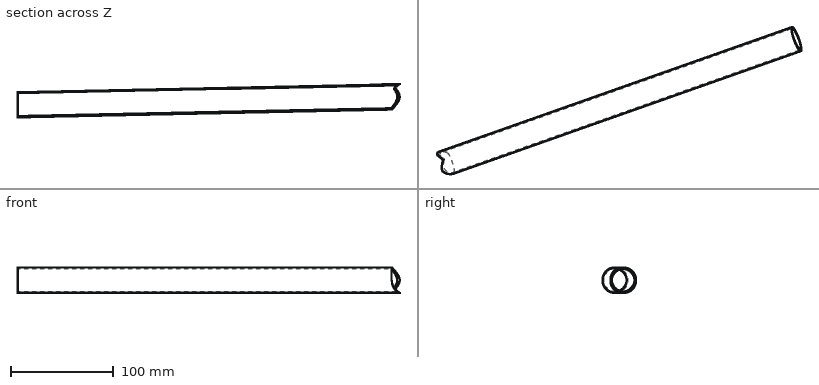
import cadquery as cq

length = 372.5
outer_diameter = 25.0
wall = 1.5
sideways_rise = 8.0
tip_height = 8.0
overrun = 37.2

outer_radius = outer_diameter / 2
inner_radius = outer_radius - wall
shoulder_x = length - tip_height
cove_radius = (outer_radius**2 + tip_height**2) / (2 * tip_height)
cutter_span = 4 * outer_diameter
cutter_end_x = length + overrun + outer_diameter


def make_tube():
    """Straight tube along a slightly tilted axis, longer than needed at both ends."""
    direction = cq.Vector(length, sideways_rise, 0)
    start = direction.normalized() * -overrun
    plane = cq.Plane(
        origin=start.toTuple(),
        xDir=(sideways_rise, -length, 0),
        normal=direction.toTuple(),
    )
    return (
        cq.Workplane(plane)
        .circle(outer_radius)
        .circle(inner_radius)
        .extrude(length + 2 * overrun)
    )


def cove_space(axis_level):
    """Prism beyond the end: flat below Y = axis_level, curving out to a tip above it."""
    return (
        cq.Workplane("XY")
        .moveTo(shoulder_x, axis_level - cutter_span)
        .lineTo(shoulder_x, axis_level)
        .radiusArc((length, axis_level + outer_radius), cove_radius)
        .lineTo(length, axis_level + cutter_span)
        .lineTo(cutter_end_x, axis_level + cutter_span)
        .lineTo(cutter_end_x, axis_level - cutter_span)
        .close()
        .extrude(cutter_span / 2, both=True)
    )


def make_end_notch():
    """Space removed at the far end, leaving one tip toward +Y and one toward -Z."""
    side_cove = cove_space(sideways_rise)
    bottom_cove = cove_space(0).rotate((0, 0, 0), (1, 0, 0), -90)
    return side_cove.intersect(bottom_cove)


trim = cq.Workplane("YZ").rect(cutter_span, cutter_span).extrude(length)

result = make_tube().intersect(trim).cut(make_end_notch())